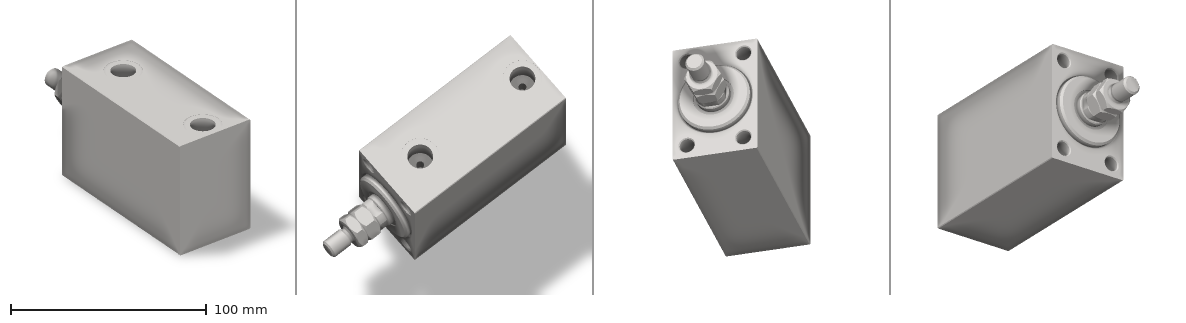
import cadquery as cq
import math


HOUSING_LENGTH = 100.0
HOUSING_WIDTH = 45.0
HOUSING_HEIGHT = 65.0
EDGE_CHAMFER = 0.4

BORE_DIAMETER = 25.0
BORE_REAR_WALL = 8.0
GLAND_DEPTH = 13.9
SEAT_CHAMFER = 1.0

MOUNT_SPACING_Y = 30.0
MOUNT_SPACING_Z = 50.0
MOUNT_DIAMETER = 7.8
MOUNT_CHAMFER = 0.5
MOUNT_DEPTH = 16.0
DRILL_POINT_ANGLE = 118.0

FRONT_PORT_X = 22.0
REAR_PORT_X = 89.5
PORT_DIAMETER = 13.2
PORT_DEPTH = 12.0
SPOTFACE_DIAMETER = 20.0
SPOTFACE_DEPTH = 0.1
OIL_PASSAGE_DIAMETER = 4.0

GLAND_DIAMETER = 38.1
GLAND_PROJECTION = 3.0
GLAND_CHAMFER = 1.1
WIPER_RECESS_DIAMETER = 21.7
WIPER_RECESS_DEPTH = 0.5

ROD_DIAMETER = 18.1
ROD_PROJECTION = 3.0
ROD_CHAMFER = 0.5
FLATS_LENGTH = 4.9
ACROSS_FLATS = 15.0
FLATS_CORNER_DIAMETER = ROD_DIAMETER - 2 * ROD_CHAMFER
ROD_END_CHAMFER = 0.5

REAR_HEX_LENGTH = 8.0
FRONT_HEX_LENGTH = 6.0
HEX_ACROSS_FLATS = 17.0
HEX_FACE_DIAMETER = 16.5
STUD_LENGTH = 14.0
STUD_DIAMETER = 10.0
STUD_CHAMFER = 1.0
RELIEF_LENGTH = 2.9
RELIEF_DEPTH = 0.8

GLAND_FRONT_X = -GLAND_PROJECTION
FLATS_REAR_X = GLAND_FRONT_X - ROD_PROJECTION
ROD_END_X = FLATS_REAR_X - FLATS_LENGTH
HEX_JOINT_X = ROD_END_X - REAR_HEX_LENGTH
HEX_FRONT_X = HEX_JOINT_X - FRONT_HEX_LENGTH
STUD_TIP_X = HEX_FRONT_X - STUD_LENGTH
BORE_END_X = HOUSING_LENGTH - BORE_REAR_WALL


def cross_section(x):
    """Workplane across the axis at x, facing +X."""
    return cq.Workplane("YZ", origin=(x, 0, 0))


def rod_cylinder(x_start, x_end, diameter):
    """Cylinder on the rod axis between two stations."""
    return cross_section(x_start).circle(diameter / 2).extrude(x_end - x_start)


def revolved(profile):
    """Solid turned about the X axis from (x, radius) points."""
    return cq.Workplane("XY").polyline(profile).close().revolve(360, (0, 0, 0), (1, 0, 0))


def mounting_hole():
    """Blind drilled hole along +X from the origin, with a chamfered mouth and a conical end."""
    radius = MOUNT_DIAMETER / 2
    point_length = radius / math.tan(math.radians(DRILL_POINT_ANGLE / 2))
    return revolved([
        (0, 0),
        (0, radius + MOUNT_CHAMFER),
        (MOUNT_CHAMFER, radius),
        (MOUNT_DEPTH, radius),
        (MOUNT_DEPTH + point_length, 0),
    ])


def oil_port(x):
    """Spotface, threaded port and the passage that runs on down into the bore."""
    top = cq.Workplane("XY", origin=(x, 0, HOUSING_HEIGHT / 2))
    spotface = top.circle(SPOTFACE_DIAMETER / 2).extrude(-SPOTFACE_DEPTH)
    port = top.circle(PORT_DIAMETER / 2).extrude(-PORT_DEPTH)
    passage = top.circle(OIL_PASSAGE_DIAMETER / 2).extrude(-HOUSING_HEIGHT / 2)
    return spotface.union(port).union(passage)


def make_housing():
    block = (
        cross_section(0)
        .rect(HOUSING_WIDTH, HOUSING_HEIGHT)
        .extrude(HOUSING_LENGTH)
        .edges("|X")
        .chamfer(EDGE_CHAMFER)
    )
    seat_radius = GLAND_DIAMETER / 2
    cavity = revolved([
        (0, 0),
        (0, seat_radius + SEAT_CHAMFER),
        (SEAT_CHAMFER, seat_radius),
        (GLAND_DEPTH, seat_radius),
        (GLAND_DEPTH, BORE_DIAMETER / 2),
        (BORE_END_X, BORE_DIAMETER / 2),
        (BORE_END_X, 0),
    ])
    block = block.cut(cavity)
    for y in (-MOUNT_SPACING_Y / 2, MOUNT_SPACING_Y / 2):
        for z in (-MOUNT_SPACING_Z / 2, MOUNT_SPACING_Z / 2):
            block = block.cut(mounting_hole().translate((0, y, z)))
    for x in (FRONT_PORT_X, REAR_PORT_X):
        block = block.cut(oil_port(x))
    return block


def make_gland():
    """Guide ring in the housing seat, with a shallow recess around the rod."""
    ring = rod_cylinder(GLAND_FRONT_X, GLAND_DEPTH, GLAND_DIAMETER).faces("<X").chamfer(GLAND_CHAMFER)
    recess = rod_cylinder(GLAND_FRONT_X, GLAND_FRONT_X + WIPER_RECESS_DEPTH, WIPER_RECESS_DIAMETER)
    rod_hole = rod_cylinder(GLAND_FRONT_X, GLAND_DEPTH, ROD_DIAMETER)
    return ring.cut(recess).cut(rod_hole)


def make_rod():
    """Round rod to the bottom of the bore, with four spanner flats on its outer end."""
    shank = rod_cylinder(FLATS_REAR_X, BORE_END_X, ROD_DIAMETER).faces("<X").chamfer(ROD_CHAMFER)
    round_end = rod_cylinder(ROD_END_X, FLATS_REAR_X, FLATS_CORNER_DIAMETER)
    round_end = round_end.faces("<X").chamfer(ROD_END_CHAMFER)
    square = cross_section(ROD_END_X).rect(ACROSS_FLATS, ACROSS_FLATS).extrude(FLATS_LENGTH)
    return shank.union(round_end.intersect(square))


def hexagon(x, length):
    """Hexagon starting at x, flats facing up and down, corners chamfered at both ends."""
    corner_diameter = HEX_ACROSS_FLATS / math.cos(math.radians(30))
    corner_chamfer = (corner_diameter - HEX_FACE_DIAMETER) / 2
    prism = cross_section(x).polygon(6, corner_diameter).extrude(length)
    envelope = rod_cylinder(x, x + length, corner_diameter).faces("<X or >X").chamfer(corner_chamfer)
    return prism.intersect(envelope)


def make_adapter():
    """Threaded stud with a relief groove in front of a pair of hexagons."""
    radius = STUD_DIAMETER / 2
    relief_radius = radius - RELIEF_DEPTH
    relief_start = HEX_FRONT_X - RELIEF_LENGTH
    stud = revolved([
        (STUD_TIP_X, 0),
        (STUD_TIP_X, radius - STUD_CHAMFER),
        (STUD_TIP_X + STUD_CHAMFER, radius),
        (relief_start, radius),
        (relief_start + RELIEF_DEPTH, relief_radius),
        (HEX_FRONT_X - RELIEF_DEPTH, relief_radius),
        (HEX_FRONT_X, radius),
        (HEX_FRONT_X, 0),
    ])
    front_hex = hexagon(HEX_FRONT_X, FRONT_HEX_LENGTH)
    rear_hex = hexagon(HEX_JOINT_X, REAR_HEX_LENGTH)
    return stud.union(front_hex).union(rear_hex)


housing = make_housing()
gland = make_gland()
rod = make_rod()
adapter = make_adapter()

result = cq.Compound.makeCompound([housing.val(), gland.val(), rod.val(), adapter.val()])